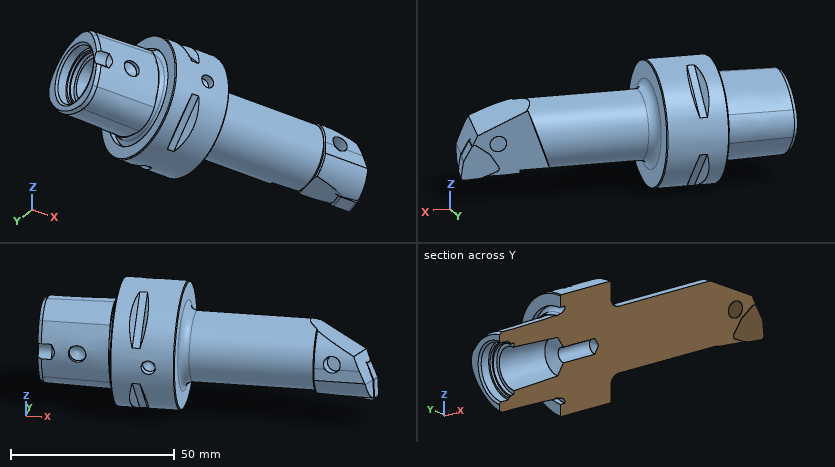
import cadquery as cq
import math

COLLAR_DIAMETER = 40.0
COLLAR_START = 23.9
COLLAR_END = 44.0
COLLAR_CHAMFER = 0.3
COLLAR_RADIUS = COLLAR_DIAMETER / 2

LOBE_REACH = 14.9
FLAT_REACH = 13.1
LOBE_CENTRE = 6.2
SHANK_END = 22.4
SHANK_TAPER_INSET = 0.47
SHANK_CHAMFER_LENGTH = 1.2
SHANK_CHAMFER_INSET = 0.68
ROOT_START_RADIUS = 13.4
ROOT_END_RADIUS = 13.9
RECESS_RADIUS = 15.8

BORE_STEPS = [
    (10.3, 9.6, 0.6),
    (9.6, 9.6, 3.5),
    (8.8, 8.8, 4.4),
    (8.3, 8.3, 5.7),
    (7.1, 6.2, 22.9),
    (6.2, 2.5, 25.2),
    (2.5, 2.5, 37.4),
    (2.5, 0.0, 38.9),
]

DRILL_POINT_RATIO = 0.6
SHANK_HOLE_X = 12.5
SHANK_HOLE_RADIUS = 2.7
SHANK_HOLE_DEPTH = 1.6
COLLAR_HOLE_X = 35.9
COLLAR_HOLE_RADIUS = 2.2
COLLAR_HOLE_DEPTH = 2.6
KEYWAY_RADIUS = 2.7
KEYWAY_AXIS_Y = -13.5
KEYWAY_LENGTH = 4.3

GROOVE_COUNT = 4
GROOVE_FIRST_ANGLE = 45.0
GROOVE_X = 31.9
GROOVE_FLOOR_REACH = 17.7
GROOVE_FLOOR_WIDTH = 2.4
GROOVE_MOUTH_WIDTH = 5.4

NECK_RADIUS = 11.0
NECK_FILLET = 3.0
HEAD_START = 85.6
HEAD_CHAMFER = 0.4
HEAD_UPPER_RADIUS = 11.5
HEAD_FLAT_HEIGHT = 4.0
HEAD_LOWER_RADIUS = math.hypot(HEAD_UPPER_RADIUS, HEAD_FLAT_HEIGHT)

TIP = (104.1, 0.2, -13.2)
RAKE_ABOUT_X = -11.3
RAKE_ABOUT_Y = -5.7
RAKE_PLANE = cq.Plane(origin=TIP, xDir=(1, 0, 0), normal=(0, -1, 0)).rotated(
    (RAKE_ABOUT_X, RAKE_ABOUT_Y, 0)
)
CUT_LENGTH = 62.4

HEAD_TOP_CORNER = (-4.5, 15.2)
HEAD_TOP_SLOPE = 27.7
BOTTOM_RELIEF_START = (-18.7, 1.9)
ENVELOPE_LENGTH = 114.4
ENVELOPE_BOTTOM = -20.8
CHIP_WALL_FOOT = -29.0
CHIP_WALL_LEAN = 21.8
CHIP_SPACE_BOTTOM = -10.4
CHIP_SPACE_TOP = 32.2
CHIP_SPACE_END = 10.4

INSERT_INRADIUS = 4.8
INSERT_THICKNESS = 4.8
INSERT_NOSE_RADIUS = 1.0
INSERT_OVERHANG = 0.3
TIP_HALF_ANGLE = 40.0
TIP_DIRECTION = -45.0

SCREW_AT = (-11.1, 12.2)
SCREW_RADIUS = 2.6
SCREW_LENGTH = 11.2


def polar(radius, degrees):
    angle = math.radians(degrees)
    return (radius * math.cos(angle), radius * math.sin(angle))


def pointed_drill(start, direction, radius, depth):
    """Round drill with a conical point, from the start point along a direction."""
    start = cq.Vector(*start)
    direction = cq.Vector(*direction)
    body = cq.Solid.makeCylinder(radius, depth, start, direction)
    point = cq.Solid.makeCone(radius, 0, radius * DRILL_POINT_RATIO, start + direction * depth, direction)
    return cq.Workplane(body.fuse(point))


def lobed_wire(x, inset):
    """Three-lobed outline at x made of tangent arcs, offset inwards by the inset."""
    rise = LOBE_REACH - FLAT_REACH
    flat_centre = (2 * rise * LOBE_CENTRE - rise**2) / (LOBE_CENTRE - 2 * rise)
    lobe_radius = LOBE_REACH - LOBE_CENTRE - inset
    flat_reach = FLAT_REACH - inset
    opening = math.degrees(
        math.atan2(
            flat_centre * math.sin(math.radians(60)),
            LOBE_CENTRE + flat_centre * math.cos(math.radians(60)),
        )
    )

    def on_lobe(lobe_angle, normal_angle):
        centre_y, centre_z = polar(LOBE_CENTRE, lobe_angle)
        offset_y, offset_z = polar(lobe_radius, normal_angle)
        return (centre_y + offset_y, centre_z + offset_z)

    outline = cq.Workplane("YZ", origin=(x, 0, 0)).moveTo(*on_lobe(0, -opening))
    for lobe_angle in (0, 120, 240):
        outline = outline.threePointArc(
            on_lobe(lobe_angle, lobe_angle), on_lobe(lobe_angle, lobe_angle + opening)
        )
        next_lobe = lobe_angle + 120
        outline = outline.threePointArc(
            polar(flat_reach, lobe_angle + 60), on_lobe(next_lobe, next_lobe - opening)
        )
    return outline.close().val()


def make_shank():
    end_inset = SHANK_TAPER_INSET + SHANK_CHAMFER_INSET
    face = lobed_wire(0, end_inset)
    chamfer_edge = lobed_wire(SHANK_CHAMFER_LENGTH, SHANK_TAPER_INSET)
    root = lobed_wire(SHANK_END, 0)
    chamfer = cq.Solid.makeLoft([face, chamfer_edge], True)
    taper = cq.Solid.makeLoft([chamfer_edge, root], True)
    return cq.Workplane(taper).union(cq.Workplane(chamfer))


def make_turned_body():
    """Shank root, collar with recessed face, filleted neck, all turned about the X axis."""
    fillet_centre = (COLLAR_END + NECK_FILLET, NECK_RADIUS + NECK_FILLET)
    fillet_x, fillet_r = polar(NECK_FILLET, 225)
    recess_fillet = RECESS_RADIUS - ROOT_END_RADIUS
    recess_x, recess_r = polar(recess_fillet, 315)
    return (
        cq.Workplane("XY")
        .moveTo(SHANK_END, 0)
        .lineTo(SHANK_END, ROOT_START_RADIUS)
        .lineTo(COLLAR_START, ROOT_END_RADIUS)
        .threePointArc(
            (COLLAR_START + recess_x, RECESS_RADIUS + recess_r),
            (COLLAR_START + recess_fillet, RECESS_RADIUS),
        )
        .lineTo(COLLAR_START, RECESS_RADIUS)
        .lineTo(COLLAR_START, COLLAR_RADIUS - COLLAR_CHAMFER)
        .lineTo(COLLAR_START + COLLAR_CHAMFER, COLLAR_RADIUS)
        .lineTo(COLLAR_END - COLLAR_CHAMFER, COLLAR_RADIUS)
        .lineTo(COLLAR_END, COLLAR_RADIUS - COLLAR_CHAMFER)
        .lineTo(COLLAR_END, fillet_centre[1])
        .threePointArc(
            (fillet_centre[0] + fillet_x, fillet_centre[1] + fillet_r),
            (fillet_centre[0], NECK_RADIUS),
        )
        .lineTo(HEAD_START, NECK_RADIUS)
        .lineTo(HEAD_START, 0)
        .close()
        .revolve(360, (0, 0, 0), (1, 0, 0))
    )


def make_head_blank():
    """Head bar: a smaller round above, a larger round below, joined by side flats."""
    return (
        cq.Workplane("YZ", origin=(HEAD_START, 0, 0))
        .moveTo(HEAD_UPPER_RADIUS, 0)
        .threePointArc((0, HEAD_UPPER_RADIUS), (-HEAD_UPPER_RADIUS, 0))
        .lineTo(-HEAD_UPPER_RADIUS, -HEAD_FLAT_HEIGHT)
        .threePointArc((0, -HEAD_LOWER_RADIUS), (HEAD_UPPER_RADIUS, -HEAD_FLAT_HEIGHT))
        .close()
        .extrude(TIP[0] - HEAD_START)
        .faces("<X")
        .chamfer(HEAD_CHAMFER)
    )


def insert_vertices():
    """Alternating sharp and blunt corners of the trigon, starting at the cutting tip at (0, 0)."""
    tip_reach = INSERT_INRADIUS / math.sin(math.radians(TIP_HALF_ANGLE))
    blunt_reach = INSERT_INRADIUS / math.sin(math.radians(120 - TIP_HALF_ANGLE))
    tip_x, tip_y = polar(tip_reach, TIP_DIRECTION)
    vertices = []
    for corner in range(6):
        reach = tip_reach if corner % 2 == 0 else blunt_reach
        x, y = polar(reach, TIP_DIRECTION + 60 * corner)
        vertices.append((x - tip_x, y - tip_y))
    return vertices


def make_insert():
    return (
        cq.Workplane(RAKE_PLANE)
        .polyline(insert_vertices())
        .close()
        .extrude(INSERT_THICKNESS)
        .edges(cq.selectors.ParallelDirSelector(RAKE_PLANE.zDir))
        .fillet(INSERT_NOSE_RADIUS)
        .solids()
    )


def make_screw(length):
    return cq.Workplane(RAKE_PLANE).center(*SCREW_AT).circle(SCREW_RADIUS).extrude(length)


def make_head_envelope():
    """Prism square to the rake face that bounds the head: sloped top, end and bottom relief."""
    blunt_x, blunt_y = insert_vertices()[1]
    corner_x, corner_y = HEAD_TOP_CORNER
    rise = (ENVELOPE_LENGTH + corner_x) * math.tan(math.radians(HEAD_TOP_SLOPE))
    return (
        cq.Workplane(RAKE_PLANE)
        .polyline([
            (-ENVELOPE_LENGTH, corner_y + rise),
            HEAD_TOP_CORNER,
            (blunt_x - INSERT_OVERHANG, blunt_y),
            (-INSERT_OVERHANG, INSERT_OVERHANG),
            BOTTOM_RELIEF_START,
            (BOTTOM_RELIEF_START[0], ENVELOPE_BOTTOM),
            (-ENVELOPE_LENGTH, ENVELOPE_BOTTOM),
        ])
        .close()
        .extrude(CUT_LENGTH, both=True)
    )


def make_chip_space():
    """Clears everything outside the rake face, back to a leaning end wall."""

    def on_wall(height):
        return (CHIP_WALL_FOOT + height * math.tan(math.radians(CHIP_WALL_LEAN)), height)

    return (
        cq.Workplane(RAKE_PLANE)
        .polyline([
            on_wall(CHIP_SPACE_BOTTOM),
            on_wall(CHIP_SPACE_TOP),
            (CHIP_SPACE_END, CHIP_SPACE_TOP),
            (CHIP_SPACE_END, CHIP_SPACE_BOTTOM),
        ])
        .close()
        .extrude(-CUT_LENGTH)
    )


def make_bore():
    along_x = cq.Vector(1, 0, 0)
    depth = 0
    bore = cq.Workplane()
    for start_radius, end_radius, end_depth in BORE_STEPS:
        start = cq.Vector(depth, 0, 0)
        length = end_depth - depth
        if start_radius == end_radius:
            step = cq.Solid.makeCylinder(start_radius, length, start, along_x)
        else:
            step = cq.Solid.makeCone(start_radius, end_radius, length, start, along_x)
        bore = bore.add(step)
        depth = end_depth
    return bore.combine()


def make_groove(turn):
    floor = GROOVE_FLOOR_WIDTH / 2
    mouth = GROOVE_MOUTH_WIDTH / 2
    return (
        cq.Workplane("XZ")
        .polyline([
            (GROOVE_X - floor, GROOVE_FLOOR_REACH),
            (GROOVE_X + floor, GROOVE_FLOOR_REACH),
            (GROOVE_X + mouth, COLLAR_RADIUS),
            (GROOVE_X - mouth, COLLAR_RADIUS),
        ])
        .close()
        .extrude(COLLAR_RADIUS, both=True)
        .rotate((0, 0, 0), (1, 0, 0), turn)
    )


def make_holder():
    holder = make_turned_body().union(make_shank()).union(make_head_blank())
    holder = holder.intersect(make_head_envelope()).cut(make_chip_space())
    holder = holder.cut(make_bore())
    for index in range(GROOVE_COUNT):
        holder = holder.cut(make_groove(GROOVE_FIRST_ANGLE + index * 360 / GROOVE_COUNT))
    holder = holder.cut(
        pointed_drill((SHANK_HOLE_X, -FLAT_REACH, 0), (0, 1, 0), SHANK_HOLE_RADIUS, SHANK_HOLE_DEPTH)
    )
    holder = holder.cut(
        pointed_drill((COLLAR_HOLE_X, -COLLAR_RADIUS, 0), (0, 1, 0), COLLAR_HOLE_RADIUS, COLLAR_HOLE_DEPTH)
    )
    holder = holder.cut(pointed_drill((0, KEYWAY_AXIS_Y, 0), (1, 0, 0), KEYWAY_RADIUS, KEYWAY_LENGTH))
    return holder.cut(make_insert()).cut(make_screw(CUT_LENGTH)).solids()


holder = make_holder()
cutting_insert = make_insert()
clamp_screw = make_screw(SCREW_LENGTH)

result = cq.Compound.makeCompound([holder.val(), cutting_insert.val(), clamp_screw.val()])